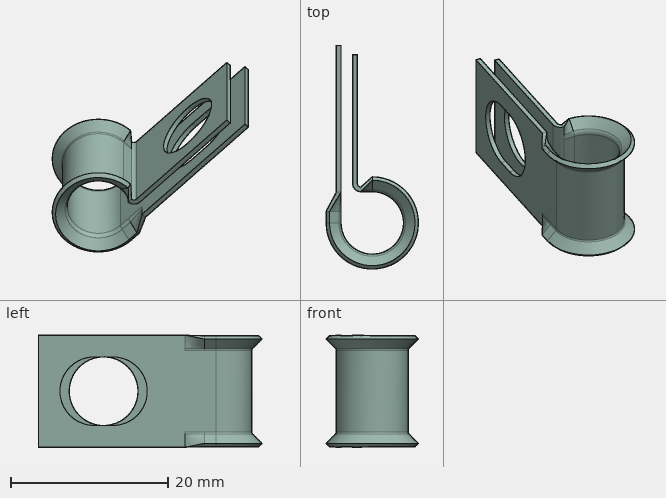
import cadquery as cq
import math

sheet = 0.63
height = 14.27
half_height = height / 2
bore_radius = 3.95
barrel_radius = bore_radius + sheet

flare_diameter = 11.77
flare_radius = flare_diameter / 2
flare_sweep = 270
flare_angle = math.radians(45)
flare_start = 5.2
flare_bend_inner = 0.3
flare_straight = 1.48

total_length = 28.5
leg_step = 1.17
long_leg_end = total_length - flare_radius
short_leg_end = long_leg_end - leg_step
long_leg_blend_end = 3.93
short_leg_left = -2.5
leg_bend_inner = 0.43
leg_bend_outer = leg_bend_inner + sheet
leg_bend_x = short_leg_left + leg_bend_outer
leg_bend_y = bore_radius + leg_bend_outer

hole_diameter = 8.72
slot_length = 11.1
hole_y = 14.3

bend_center_radius = barrel_radius + flare_bend_inner
flare_bend_outer = flare_bend_inner + sheet


def bend_point(radius, angle):
    return (
        bend_center_radius - radius * math.cos(angle),
        flare_start + radius * math.sin(angle),
    )


inner_bend_end = bend_point(flare_bend_outer, flare_angle)
outer_bend_end = bend_point(flare_bend_inner, flare_angle)
lip_outer_height = outer_bend_end[1] + (flare_radius - outer_bend_end[0]) / math.tan(flare_angle)
lip_outer = (flare_radius, lip_outer_height)
lip_inner = (
    flare_radius - sheet * math.cos(flare_angle),
    lip_outer_height + sheet * math.sin(flare_angle),
)


def flare_section(plane):
    return (
        cq.Workplane(plane)
        .moveTo(bore_radius, flare_start)
        .threePointArc(bend_point(flare_bend_outer, flare_angle / 2), inner_bend_end)
        .lineTo(*lip_inner)
        .lineTo(*lip_outer)
        .lineTo(*outer_bend_end)
        .threePointArc(bend_point(flare_bend_inner, flare_angle / 2), (barrel_radius, flare_start))
        .close()
    )


def flat_section(plane):
    """Unbent wall, with one corner for each corner of the flare section."""
    corners = [
        (bore_radius, flare_start),
        (bore_radius, inner_bend_end[1]),
        (bore_radius, half_height),
        (barrel_radius, half_height),
        (barrel_radius, outer_bend_end[1]),
        (barrel_radius, flare_start),
    ]
    return cq.Workplane(plane).polyline(corners).close()


def blend(flared_plane, flat_plane):
    wires = [flare_section(flared_plane).val(), flat_section(flat_plane).val()]
    return cq.Workplane(cq.Solid.makeLoft(wires, True))


def wall(x_min, x_max, y_min, y_max, wall_height):
    return (
        cq.Workplane("XY")
        .box(x_max - x_min, y_max - y_min, wall_height, centered=(False, False, True))
        .translate((x_min, y_min, 0))
    )


def long_leg_plane(y):
    """Section plane across the long leg: local X runs outward along -X."""
    return cq.Plane(origin=(0, y, 0), xDir=(-1, 0, 0), normal=(0, 1, 0))


def short_leg_plane(x):
    """Section plane across the barrel end: local X runs outward along +Y."""
    return cq.Plane(origin=(x, 0, 0), xDir=(0, 1, 0), normal=(1, 0, 0))


def make_flare():
    """Upper flare, from its blend on the short leg round to that on the long leg."""
    rolled = flare_section(long_leg_plane(0)).revolve(flare_sweep, (0, 0, 0), (0, 1, 0))
    straight = flare_section(long_leg_plane(0)).extrude(flare_straight)
    long_blend = blend(long_leg_plane(flare_straight), long_leg_plane(long_leg_blend_end))
    short_blend = blend(short_leg_plane(0), short_leg_plane(leg_bend_x))
    return rolled.union(straight).union(long_blend).union(short_blend)


def make_barrel():
    """Three-quarter tube between the flares, with its straight runs to the legs."""
    tube = cq.Workplane("XY").circle(barrel_radius).circle(bore_radius).extrude(flare_start, both=True)
    open_quarter = wall(-barrel_radius, 0, 0, barrel_radius, height)
    long_run = wall(-barrel_radius, -bore_radius, 0, long_leg_blend_end, 2 * flare_start)
    short_run = wall(leg_bend_x, 0, bore_radius, barrel_radius, 2 * flare_start)
    return tube.cut(open_quarter).union(long_run).union(short_run)


def make_long_leg():
    leg = wall(-barrel_radius, -bore_radius, long_leg_blend_end, long_leg_end, height)
    slot = (
        cq.Workplane("YZ", origin=(-barrel_radius, hole_y, 0))
        .slot2D(slot_length, hole_diameter)
        .extrude(sheet)
    )
    return leg.cut(slot)


def make_short_leg():
    leg = wall(short_leg_left, short_leg_left + sheet, leg_bend_y, short_leg_end, height)
    hole = (
        cq.Workplane("YZ", origin=(short_leg_left, hole_y, 0))
        .circle(hole_diameter / 2)
        .extrude(sheet)
    )
    bend = (
        cq.Workplane("XY", origin=(leg_bend_x, leg_bend_y, 0))
        .circle(leg_bend_outer)
        .circle(leg_bend_inner)
        .extrude(half_height, both=True)
        .intersect(wall(short_leg_left, leg_bend_x, bore_radius, leg_bend_y, height))
    )
    return leg.cut(hole).union(bend)


flare = make_flare()
result = (
    make_barrel()
    .union(flare)
    .union(flare.mirror("XY"))
    .union(make_long_leg())
    .union(make_short_leg())
)